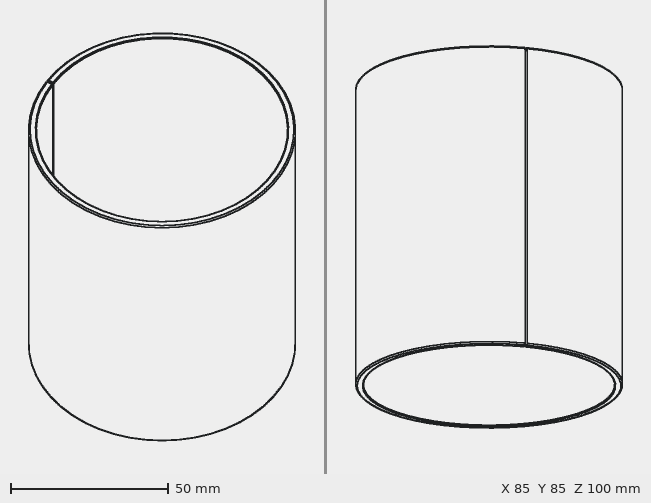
import cadquery as cq

length = 100.0
outer_diameter = 85.0
wall = 2.5
outer_chamfer = 0.5
inner_chamfer = 0.3
split_angle = 1.0

outer_radius = outer_diameter / 2
inner_radius = outer_radius - wall
half_length = length / 2

wall_section = (
    cq.Workplane("XZ")
    .moveTo(-inner_radius - inner_chamfer, -half_length)
    .lineTo(-outer_radius + outer_chamfer, -half_length)
    .lineTo(-outer_radius, -half_length + outer_chamfer)
    .lineTo(-outer_radius, half_length - outer_chamfer)
    .lineTo(-outer_radius + outer_chamfer, half_length)
    .lineTo(-inner_radius - inner_chamfer, half_length)
    .lineTo(-inner_radius, half_length - inner_chamfer)
    .lineTo(-inner_radius, -half_length + inner_chamfer)
    .close()
)

result = wall_section.revolve(360 - split_angle, (0, 0, 0), (0, 1, 0))